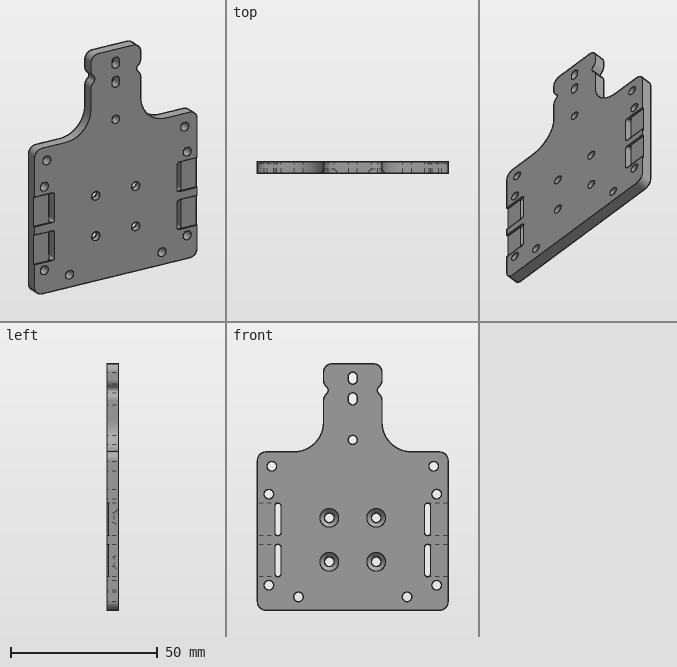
import cadquery as cq
import math

plate_width = 65.0
plate_thickness = 4.0
total_height = 84.0
body_height = 54.0
neck_width = 20.0
corner_radius = 3.0
shoulder_radius = 10.0

notch_z = 74.9
notch_depth = 1.6
notch_radius = 1.5
notch_blend_radius = 3.0

neck_hole_diameter = 3.0
neck_hole_z = 58.05
neck_slot_length = 4.0
neck_slot_heights = (72.0, 79.05)

mount_hole_diameter = 3.2
mount_holes = ((27.55, 49.05), (28.6, 39.6), (28.6, 8.6), (18.5, 4.6))

screw_diameter = 3.2
countersink_diameter = 6.4
countersink_angle = 90
screw_spacing = 16.0
screw_heights = (16.55, 31.5)

strap_slot_x = 25.45
strap_slot_width = 2.0
strap_slot_length = 11.0
strap_slot_heights = (17.0, 31.0)
strap_channel_depth = 0.6

half_width = plate_width / 2
half_neck = neck_width / 2


def front_plane():
    """Sketch plane on the front face: local x is X, local y is Z, facing -Y."""
    return cq.Workplane("XZ")


def block(width, bottom, top):
    """Full-thickness plate centred on X = 0 between two heights."""
    return cq.Workplane("XY").box(
        width, plate_thickness, top - bottom, centered=(True, False, False)
    ).translate((0, 0, bottom))


def plate():
    body = block(plate_width, 0, body_height).edges("|Y").fillet(corner_radius)
    neck = block(neck_width, body_height / 2, total_height)
    neck = neck.edges("|Y and >Z").fillet(corner_radius)
    shape = body.union(neck)
    margin = 0.8
    shoulder = cq.selectors.BoxSelector(
        (-half_neck - margin, -margin, body_height - margin),
        (half_neck + margin, plate_thickness + margin, body_height + margin),
    )
    return shape.edges("|Y").edges(shoulder).fillet(shoulder_radius)


def neck_notch(side):
    """Notch whose floor arc meets the neck edge through two tangent blend arcs."""
    radius_sum = notch_radius + notch_blend_radius
    turn = math.acos(1 - notch_depth / radius_sum)

    def blend_point(angle, direction):
        inset = notch_blend_radius * (1 - math.cos(angle))
        rise = radius_sum * math.sin(turn) - notch_blend_radius * math.sin(angle)
        return side * (half_neck - inset), notch_z + direction * rise

    return (
        front_plane()
        .moveTo(*blend_point(0, -1))
        .threePointArc(blend_point(turn / 2, -1), blend_point(turn, -1))
        .threePointArc((side * (half_neck - notch_depth), notch_z), blend_point(turn, 1))
        .threePointArc(blend_point(turn / 2, 1), blend_point(0, 1))
        .close()
        .extrude(-plate_thickness)
    )


def round_holes(diameter, points):
    return front_plane().pushPoints(points).circle(diameter / 2).extrude(-plate_thickness)


def upright_slots(length, width, points):
    return front_plane().pushPoints(points).slot2D(length, width, 90).extrude(-plate_thickness)


def countersinks(points):
    """Cones that narrow from the front face to the screw diameter."""
    radial_step = (countersink_diameter - screw_diameter) / 2
    depth = radial_step / math.tan(math.radians(countersink_angle / 2))
    cone = cq.Solid.makeCone(
        countersink_diameter / 2, screw_diameter / 2, depth, cq.Vector(0, 0, 0), cq.Vector(0, 1, 0)
    )
    cones = cq.Workplane("XY")
    for x, z in points:
        cones = cones.add(cone.translate(cq.Vector(x, 0, z)))
    return cones.combine()


def strap_channels():
    """Channels in the back face from each slot's centreline out to the plate edge."""
    channel_length = half_width - strap_slot_x
    centre_x = strap_slot_x + channel_length / 2
    points = [(side * centre_x, z) for side in (-1, 1) for z in strap_slot_heights]
    return (
        front_plane()
        .workplane(offset=-plate_thickness)
        .pushPoints(points)
        .rect(channel_length, strap_slot_length)
        .extrude(strap_channel_depth)
    )


mount_points = [(side * x, z) for side in (-1, 1) for x, z in mount_holes]
screw_points = [(side * screw_spacing / 2, z) for side in (-1, 1) for z in screw_heights]
strap_points = [(side * strap_slot_x, z) for side in (-1, 1) for z in strap_slot_heights]
neck_slot_points = [(0, z) for z in neck_slot_heights]

result = plate()
for notch_side in (-1, 1):
    result = result.cut(neck_notch(notch_side))
result = result.cut(round_holes(neck_hole_diameter, [(0, neck_hole_z)]))
result = result.cut(upright_slots(neck_slot_length, neck_hole_diameter, neck_slot_points))
result = result.cut(round_holes(mount_hole_diameter, mount_points))
result = result.cut(round_holes(screw_diameter, screw_points))
result = result.cut(countersinks(screw_points))
result = result.cut(upright_slots(strap_slot_length, strap_slot_width, strap_points))
result = result.cut(strap_channels())